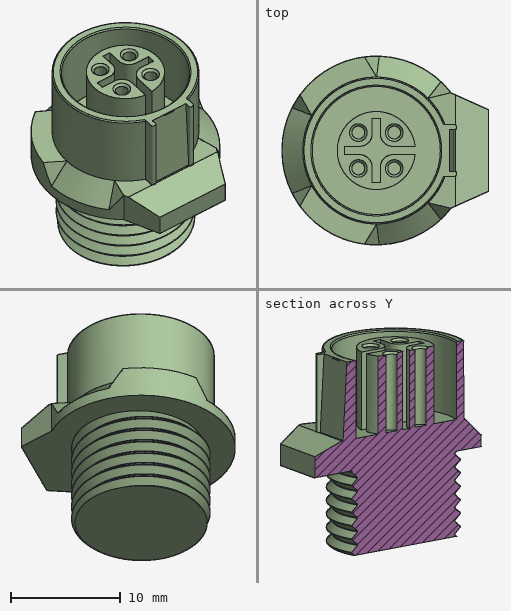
import cadquery as cq
import math

flange_bottom = 8.04
flange_top = 11.08
total_height = 18.44

thread_diameter = 12.65
root_diameter = 11.43
thread_pitch = 1.27
thread_flat = 0.07
crest_height_at_x = 0.28
thread_embed = 0.3

flange_diameter = 17.22
tab_start_x = 6.82
tab_end_x = 10.25
tab_end_width = 7.44
tab_slope_start_x = 7.24
tab_tip_height = 2.03

bevels = [(67.5, 22.2), (180, 28.5), (-67.5, 22.2)]
bevel_depth = 1.92
bevel_top_offset = 7.6
bevel_foot_offset = -1.5
bevel_cutter_reach = 10.0

collar_diameter = 13.4
collar_chamfer = 0.12
socket_diameter = 11.68
socket_chamfer = 0.125
socket_depth = total_height - flange_top
keyway_end_x = 7.31
keyway_width = 4.78
keyway_outer_radius = 0.22
keyway_inner_radius = 0.1
keyway_slot_width = 3.8
keyway_ramp_top_x = 6.67
keyway_ramp_foot_x = 7.09

insert_diameter = 7.12
cross_width = 0.75
cross_half_length = 2.9
cross_fillet = 1.15
contact_diameter = 1.17
contact_mouth_diameter = 1.6
contact_offset = 1.635


def disc(diameter, bottom, top):
    return cq.Workplane("XY").workplane(offset=bottom).circle(diameter / 2).extrude(top - bottom)


def make_thread():
    crest_radius = thread_diameter / 2
    root_radius = root_diameter / 2
    base_radius = root_radius - thread_embed
    crest_half = thread_flat / 2
    root_half = (thread_pitch - thread_flat) / 2
    start = crest_height_at_x - thread_pitch
    turns = math.ceil((flange_bottom - start) / thread_pitch)
    helix = cq.Wire.makeHelix(thread_pitch, turns * thread_pitch, root_radius)
    ridge = (
        cq.Workplane("XZ")
        .polyline([
            (base_radius, -root_half),
            (root_radius, -root_half),
            (crest_radius, -crest_half),
            (crest_radius, crest_half),
            (root_radius, root_half),
            (base_radius, root_half),
        ])
        .close()
        .sweep(cq.Workplane(obj=helix), isFrenet=True)
        .translate((0, 0, start))
    )
    core = disc(root_diameter, start - thread_pitch, start + (turns + 1) * thread_pitch)
    return core.union(ridge).intersect(disc(flange_diameter, 0, flange_bottom))


def make_flange_blank():
    """Round flange with a tapering tab whose top slopes down to its tip."""
    start_half = math.sqrt((flange_diameter / 2) ** 2 - tab_start_x ** 2)
    end_half = tab_end_width / 2
    tab = (
        cq.Workplane("XY")
        .workplane(offset=flange_bottom)
        .polyline([(0, -start_half), (tab_start_x, -start_half), (tab_end_x, -end_half),
                   (tab_end_x, end_half), (tab_start_x, start_half), (0, start_half)])
        .close()
        .extrude(flange_top - flange_bottom)
    )
    side = (
        cq.Workplane("XZ")
        .polyline([(-flange_diameter, flange_bottom), (tab_end_x, flange_bottom),
                   (tab_end_x, flange_bottom + tab_tip_height),
                   (tab_slope_start_x, flange_top), (-flange_diameter, flange_top)])
        .close()
        .extrude(flange_diameter, both=True)
    )
    return disc(flange_diameter, flange_bottom, flange_top).union(tab).intersect(side)


def polar(radius, degrees):
    angle = math.radians(degrees)
    return radius * math.cos(angle), radius * math.sin(angle)


def bevel_outline(through, slope):
    """Wedge outline whose sides pass through a point at a given slope."""
    point_x, point_y = through
    inner_x = point_x - point_y / slope
    outer_y = point_y + slope * (bevel_cutter_reach - point_x)
    return [(inner_x, 0), (bevel_cutter_reach, -outer_y), (bevel_cutter_reach, outer_y)]


def make_bevel_cutter(center_angle, half_angle):
    """Conical bevel that ends in a leaning flat facet on each side."""
    outer_radius = flange_diameter / 2
    collar_radius = collar_diameter / 2
    apex = polar(collar_radius, half_angle)
    top_corner = polar(outer_radius, half_angle + bevel_top_offset)
    foot_corner = polar(outer_radius, half_angle + bevel_foot_offset)
    slope = (top_corner[1] - apex[1]) / (top_corner[0] - apex[0])
    wedge = (
        cq.Workplane("XY")
        .workplane(offset=flange_top)
        .polyline(bevel_outline(apex, slope))
        .close()
        .workplane(offset=-bevel_depth)
        .polyline(bevel_outline(foot_corner, slope))
        .close()
        .loft(ruled=True)
    )
    cone = (
        cq.Workplane("XZ")
        .polyline([(collar_radius, flange_top), (outer_radius, flange_top - bevel_depth),
                   (bevel_cutter_reach, flange_top - bevel_depth), (bevel_cutter_reach, flange_top)])
        .close()
        .revolve(360, (0, 0, 0), (0, 1, 0))
    )
    return cone.intersect(wedge).rotate((0, 0, 0), (0, 0, 1), center_angle)


def make_flange():
    flange = make_flange_blank()
    for center_angle, half_angle in bevels:
        flange = flange.cut(make_bevel_cutter(center_angle, half_angle))
    return flange


def make_keyway_block():
    block = (
        cq.Workplane("XY")
        .workplane(offset=flange_top)
        .rect(2 * keyway_end_x, keyway_width)
        .extrude(total_height - flange_top)
    )
    slot = (
        cq.Workplane("XZ")
        .polyline([(keyway_ramp_top_x, total_height),
                   (keyway_ramp_foot_x, flange_top),
                   (keyway_end_x, flange_top),
                   (keyway_end_x, total_height)])
        .close()
        .extrude(keyway_slot_width / 2, both=True)
    )
    block = block.cut(slot)
    block = block.edges("(|Z and >X) exc (<Y or >Y)").fillet(keyway_inner_radius)
    block = block.edges("(|Z and >X) and (<Y or >Y)").fillet(keyway_outer_radius)
    positive_x = cq.Workplane("XY").box(keyway_end_x, keyway_width, total_height, centered=(False, True, False))
    return block.intersect(positive_x)


def make_collar():
    collar = disc(collar_diameter, flange_top, total_height).faces(">Z").chamfer(collar_chamfer)
    collar = collar.union(make_keyway_block())
    socket = disc(socket_diameter, flange_top, total_height)
    mouth_radius = socket_diameter / 2 + socket_chamfer
    mouth = (
        cq.Workplane("XY")
        .workplane(offset=total_height)
        .circle(mouth_radius)
        .workplane(offset=-socket_chamfer)
        .circle(socket_diameter / 2)
        .loft()
    )
    return collar.cut(socket).cut(mouth)


def make_cross_slot():
    """Cross with rounded inner corners, open only towards +X."""
    half = cross_width / 2
    upright = cq.Workplane("XY").rect(cross_width, 2 * cross_half_length).extrude(socket_depth)
    cross = upright.union(
        cq.Workplane("XY")
        .moveTo(-cross_half_length, -half)
        .lineTo(insert_diameter, -half)
        .lineTo(insert_diameter, half)
        .lineTo(-cross_half_length, half)
        .close()
        .extrude(socket_depth)
    )
    corner_box = (-cross_width, -cross_width, -1), (cross_width, cross_width, socket_depth + 1)
    cross = cross.edges(cq.selectors.BoxSelector(*corner_box)).edges("|Z").fillet(cross_fillet)
    return cross.translate((0, 0, flange_top))


def make_insert():
    insert = disc(insert_diameter, flange_top, total_height).cut(make_cross_slot())
    return (
        insert.faces(">Z")
        .workplane(origin=(0, 0, total_height))
        .rect(2 * contact_offset, 2 * contact_offset, forConstruction=True)
        .vertices()
        .cskHole(contact_diameter, contact_mouth_diameter, 90, depth=socket_depth)
    )


result = make_thread().union(make_flange()).union(make_collar()).union(make_insert())